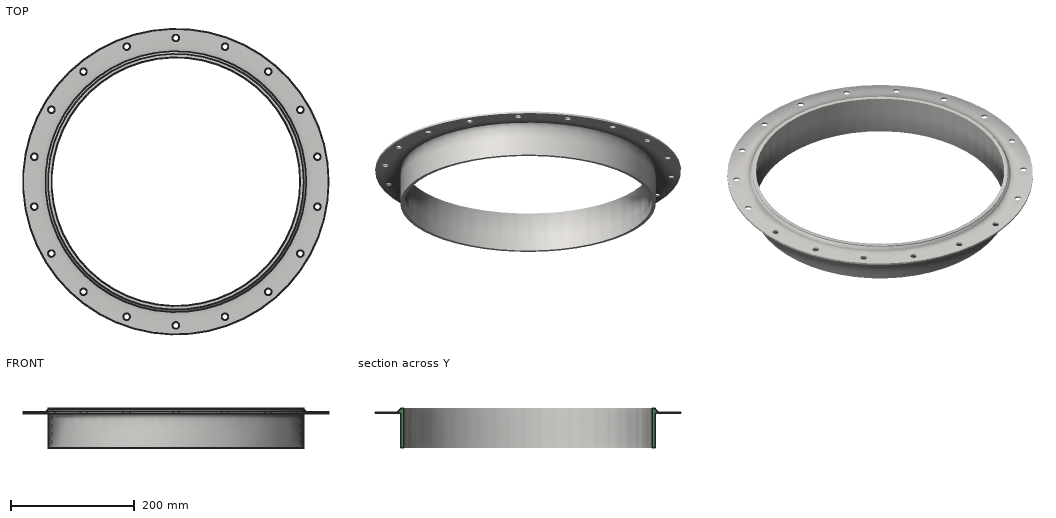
import cadquery as cq

height = 65.0
tube_diameter = 414.0
bore_diameter = 402.0

flange_diameter = 495.0
flange_thickness = 3.0
tube_projection = 6.0
flange_top = height - tube_projection
flange_bottom = flange_top - flange_thickness

bead_leg = 4.25

hole_count = 18
hole_diameter = 10.5
bolt_circle_diameter = 465.5


def ring_body():
    """Revolve the half section of tube, flange and weld bead about Z."""
    bore_radius = bore_diameter / 2
    tube_radius = tube_diameter / 2
    flange_radius = flange_diameter / 2
    section = (
        cq.Workplane("XZ")
        .moveTo(bore_radius, 0)
        .lineTo(tube_radius, 0)
        .lineTo(tube_radius, flange_bottom)
        .lineTo(flange_radius, flange_bottom)
        .lineTo(flange_radius, flange_top)
        .lineTo(tube_radius + bead_leg, flange_top)
        .lineTo(tube_radius, flange_top + bead_leg)
        .lineTo(tube_radius, height)
        .lineTo(bore_radius, height)
        .close()
    )
    return section.revolve(360, (0, 0, 0), (0, 1, 0))


def bolt_holes():
    """Evenly spaced cutters through the flange, the first one on +Y."""
    return (
        cq.Workplane("XY", origin=(0, 0, flange_bottom))
        .polarArray(bolt_circle_diameter / 2, 90, 360, hole_count)
        .circle(hole_diameter / 2)
        .extrude(flange_thickness)
    )


result = ring_body().cut(bolt_holes())